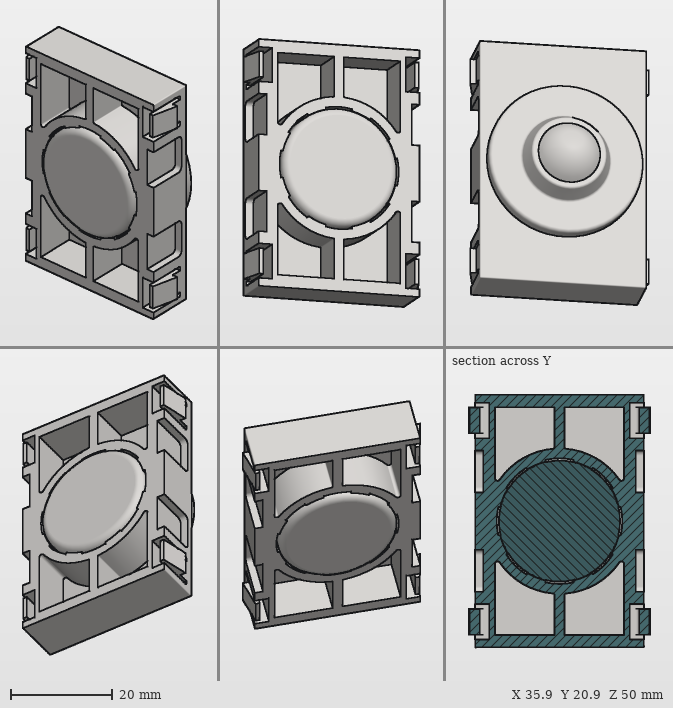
import cadquery as cq
import math

tolerance = 1e-6

housing_width = 33.5
housing_height = 50.0
housing_depth = 10.0
housing_edge_radius = 0.25

bore_radius = 12.0
nose_length = 1.0
nose_fillet = 1.5
flange_radius = 15.5
flange_back = 13.3
flange_fillet = 0.7
collar_base_radius = 8.9
collar_top_radius = 7.4
collar_back = 16.75
collar_fillet = 0.5
ball_radius = 7.7
ball_back = 19.9

notch_count = 8
notch_width = 5.5
notch_radius = 12.4

pocket_depth = 8.6
pocket_side = 12.75
pocket_end = 22.5
rib_width = 2.0
ring_radius = 14.4
pocket_tip_fillet = 0.5
pocket_rib_fillet = 0.25

recess_inner_end = 5.7
recess_outer_end = 13.95
recess_inset = 1.65
recess_depth = 8.45
recess_fillet = 1.0

slot_inner_end = 16.4
slot_outer_end = 23.4
slot_inset = 2.85
slot_depth = 8.0
slot_fillet = 0.3
tongue_inner_end = 17.35
tongue_outer_end = 22.5
tongue_thickness = 1.0
tongue_root_fillet = 0.6
hook_overhang = 1.2
hook_back = 5.8
tongue_tip_setback = 0.15

side_x = housing_width / 2
end_z = housing_height / 2


def block(x_range, y_range, z_range):
    """Box between two limits on each axis."""
    low, high = zip(x_range, y_range, z_range)
    size = [b - a for a, b in zip(low, high)]
    return cq.Workplane("XY").box(*size, centered=False).translate(low)


def cylinder_y(radius, depth):
    """Cylinder on the Y axis from the front face to the given depth."""
    return cq.Workplane("XZ").circle(radius).extrude(-depth)


def four_quadrants(feature):
    """The feature of the +X +Z quadrant together with its three mirror images."""
    pair = [feature, feature.mirror("YZ")]
    return pair + [copy.mirror("XY") for copy in pair]


def make_block():
    body = block((-side_x, side_x), (0, housing_depth), (-end_z, end_z))
    return body.edges("|Y or >Y").fillet(housing_edge_radius)


def make_bore():
    """Round bore with evenly spaced notches in its wall."""
    ring = cylinder_y(notch_radius, housing_depth)
    notch = block((-notch_width / 2, notch_width / 2), (0, housing_depth), (0, notch_radius)).intersect(ring)
    bore = cylinder_y(bore_radius, housing_depth)
    for index in range(notch_count):
        bore = bore.union(notch.rotate((0, 0, 0), (0, 1, 0), index * 360 / notch_count))
    return bore


def make_pocket():
    """Blind pocket between the rib, the side wall, the end wall and the ring around the bore."""
    pocket = block((rib_width / 2, pocket_side), (0, pocket_depth), (0, pocket_end))
    pocket = pocket.cut(cylinder_y(ring_radius, pocket_depth))
    lower = math.sqrt(ring_radius**2 - pocket_side**2)
    upper = math.sqrt(ring_radius**2 - (rib_width / 2) ** 2)
    tip = cq.selectors.NearestToPointSelector((pocket_side, pocket_depth / 2, lower))
    pocket = pocket.edges("|Y").edges(tip).fillet(pocket_tip_fillet)
    rib_corner = cq.selectors.NearestToPointSelector((rib_width / 2, pocket_depth / 2, upper))
    return pocket.edges("|Y").edges(rib_corner).fillet(pocket_rib_fillet)


def make_recess():
    recess = block((side_x - recess_inset, side_x), (0, recess_depth), (recess_inner_end, recess_outer_end))
    return recess.edges("|X and >Y").fillet(recess_fillet)


def make_slot():
    slot = block((side_x - slot_inset, side_x), (0, slot_depth), (slot_inner_end, slot_outer_end))
    return slot.edges("|X and >Y").fillet(slot_fillet)


def make_tongue():
    """Snap tongue rooted in the slot floor, with a wedge hook on its outer side."""
    inner_x = side_x - tongue_thickness
    root_x = inner_x - tongue_root_fillet
    fillet_start = slot_depth - tongue_root_fillet
    fillet_mid = tongue_root_fillet * (1 - math.sqrt(0.5))
    return (
        cq.Workplane("XY")
        .moveTo(inner_x, 0)
        .lineTo(side_x - tongue_tip_setback, 0)
        .lineTo(side_x + hook_overhang, hook_back)
        .lineTo(side_x, hook_back)
        .lineTo(side_x, slot_depth)
        .lineTo(root_x, slot_depth)
        .threePointArc((inner_x - fillet_mid, slot_depth - fillet_mid), (inner_x, fillet_start))
        .close()
        .extrude(tongue_outer_end - tongue_inner_end)
        .translate((0, 0, tongue_inner_end))
    )


def make_housing():
    body = make_block().cut(make_bore())
    for feature in (make_pocket(), make_recess(), make_slot()):
        for cutter in four_quadrants(feature):
            body = body.cut(cutter)
    for tongue in four_quadrants(make_tongue()):
        body = body.union(tongue)
    return body


def fillet_rims(body, rim_radius, fillet_radius):
    """Round every circular edge of the given radius."""
    rims = body.edges("%CIRCLE").filter(lambda edge: math.isclose(edge.radius(), rim_radius, rel_tol=tolerance))
    return rims.fillet(fillet_radius)


def make_ball_unit():
    """Nose, flange, conical collar and ball, turned in one piece around the Y axis."""
    ball_centre = ball_back - ball_radius
    ball_angle = math.asin((collar_back - ball_centre) / ball_radius)
    middle_angle = (ball_angle + math.pi / 2) / 2
    ball_rim = (ball_radius * math.cos(ball_angle), collar_back)
    ball_middle = (ball_radius * math.cos(middle_angle), ball_centre + ball_radius * math.sin(middle_angle))
    profile = (
        cq.Workplane("XY")
        .moveTo(0, -nose_length)
        .lineTo(bore_radius, -nose_length)
        .lineTo(bore_radius, housing_depth)
        .lineTo(flange_radius, housing_depth)
        .lineTo(flange_radius, flange_back)
        .lineTo(collar_base_radius, flange_back)
        .lineTo(collar_top_radius, collar_back)
        .lineTo(*ball_rim)
        .threePointArc(ball_middle, (0, ball_back))
        .close()
    )
    body = profile.revolve(360, (0, 0, 0), (0, 1, 0))
    body = body.faces("<Y").edges().fillet(nose_fillet)
    body = fillet_rims(body, flange_radius, flange_fillet)
    body = fillet_rims(body, collar_base_radius, collar_fillet)
    return fillet_rims(body, collar_top_radius, collar_fillet)


housing = make_housing()
ball_unit = make_ball_unit()
result = cq.Compound.makeCompound([housing.val(), ball_unit.val()])